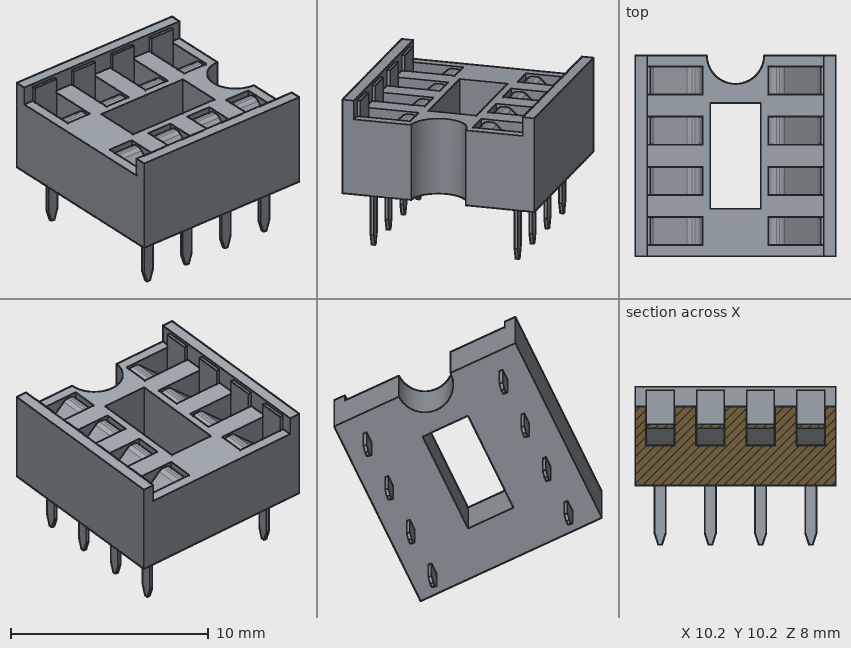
import cadquery as cq
import math


side = 10.16
body_height = 5.0
deck_height = 4.0
wall_thickness = 0.61
wall_face = side / 2 - wall_thickness
window_length_x = 2.54
window_length_y = 5.33
notch_radius = 1.44

pitch = 2.54
contacts_per_row = 4
row_spacing = 3 * pitch
row_ys = [(i - (contacts_per_row - 1) / 2) * pitch for i in range(contacts_per_row)]

pocket_inner_x = 1.67
pocket_width = 1.44

strip_thickness = 0.17
strip_width = 1.4
leg_top = 4.83
crest_height = 3.88
crest_flat = 0.15
crest_radius = 0.39
fold_flat = 0.02
fold_radius = 0.07
arm_angle = math.radians(42.5)

pin_thickness = strip_thickness
pin_width = 0.59
pin_length = 3.0
tip_length = 0.61
tip_width = 0.19


def make_body():
    body = cq.Workplane("XY").box(side, side, body_height, centered=(True, True, False))
    channel = (
        cq.Workplane("XY")
        .workplane(offset=deck_height)
        .rect(2 * wall_face, side)
        .extrude(body_height - deck_height)
    )
    window = cq.Workplane("XY").rect(window_length_x, window_length_y).extrude(body_height)
    notch = cq.Workplane("XY").center(0, side / 2).circle(notch_radius).extrude(body_height)
    return body.cut(channel).cut(window).cut(notch)


crest_center_z = crest_height - crest_radius
tip_center_x = pocket_inner_x + crest_radius
arm_center_x = tip_center_x + crest_flat
leg_center_x = wall_face - strip_thickness - fold_radius
fold_center_x = leg_center_x - fold_flat

arm_run = fold_center_x - arm_center_x
fold_center_z = crest_center_z + (
    (crest_radius + fold_radius) / math.cos(arm_angle) - arm_run * math.tan(arm_angle)
)
pocket_floor = fold_center_z - fold_radius - strip_thickness


def on_circle(center_x, center_z, radius, angle):
    return (center_x + radius * math.cos(angle), center_z + radius * math.sin(angle))


def make_contact():
    arm_normal = math.pi / 2 - arm_angle
    fold_end = arm_normal + math.pi
    fold_bottom = 3 * math.pi / 2
    fold_middle = (fold_end + fold_bottom) / 2
    leg_bend_middle = 7 * math.pi / 4
    arm_bend_middle = (arm_normal + math.pi / 2) / 2
    tip_middle = 3 * math.pi / 4
    inner_crest = crest_radius - strip_thickness
    outer_fold = fold_radius + strip_thickness

    def leg_bend(radius, angle):
        return on_circle(leg_center_x, fold_center_z, radius, angle)

    def fold(radius, angle):
        return on_circle(fold_center_x, fold_center_z, radius, angle)

    def arm_bend(radius, angle):
        return on_circle(arm_center_x, crest_center_z, radius, angle)

    def tip(radius, angle):
        return on_circle(tip_center_x, crest_center_z, radius, angle)

    profile = (
        cq.Workplane("XZ")
        .moveTo(wall_face, leg_top)
        .lineTo(*leg_bend(outer_fold, 0))
        .threePointArc(leg_bend(outer_fold, leg_bend_middle), leg_bend(outer_fold, fold_bottom))
        .lineTo(*fold(outer_fold, fold_bottom))
        .threePointArc(fold(outer_fold, fold_middle), fold(outer_fold, fold_end))
        .lineTo(*arm_bend(inner_crest, arm_normal))
        .threePointArc(arm_bend(inner_crest, arm_bend_middle), arm_bend(inner_crest, math.pi / 2))
        .lineTo(*tip(inner_crest, math.pi / 2))
        .threePointArc(tip(inner_crest, tip_middle), tip(inner_crest, math.pi))
        .lineTo(*tip(crest_radius, math.pi))
        .threePointArc(tip(crest_radius, tip_middle), tip(crest_radius, math.pi / 2))
        .lineTo(*arm_bend(crest_radius, math.pi / 2))
        .threePointArc(arm_bend(crest_radius, arm_bend_middle), arm_bend(crest_radius, arm_normal))
        .lineTo(*fold(fold_radius, fold_end))
        .threePointArc(fold(fold_radius, fold_middle), fold(fold_radius, fold_bottom))
        .lineTo(*leg_bend(fold_radius, fold_bottom))
        .threePointArc(leg_bend(fold_radius, leg_bend_middle), leg_bend(fold_radius, 0))
        .lineTo(wall_face - strip_thickness, leg_top)
        .close()
    )
    return profile.extrude(strip_width / 2, both=True)


def make_pocket():
    length = wall_face - pocket_inner_x
    depth = deck_height - pocket_floor
    pocket = cq.Workplane("XY").box(length, pocket_width, depth, centered=(False, True, False))
    return pocket.translate((pocket_inner_x, 0, pocket_floor))


def make_pin():
    half_width = pin_width / 2
    half_tip = tip_width / 2
    shoulder_z = tip_length - pin_length
    outline = [
        (-half_width, pocket_floor / 2),
        (-half_width, shoulder_z),
        (-half_tip, -pin_length),
        (half_tip, -pin_length),
        (half_width, shoulder_z),
        (half_width, pocket_floor / 2),
    ]
    blade = cq.Workplane("YZ").polyline(outline).close().extrude(pin_thickness / 2, both=True)
    return blade.translate((row_spacing / 2, 0, 0))


def in_both_rows(feature):
    copies = cq.Workplane("XY")
    for y in row_ys:
        placed = feature.translate((0, y, 0))
        copies = copies.add(placed).add(placed.mirror("YZ"))
    return copies.combine()


socket = (
    make_body()
    .cut(in_both_rows(make_pocket()))
    .union(in_both_rows(make_contact()))
    .union(in_both_rows(make_pin()))
)

result = cq.Workplane(socket.solids().val())